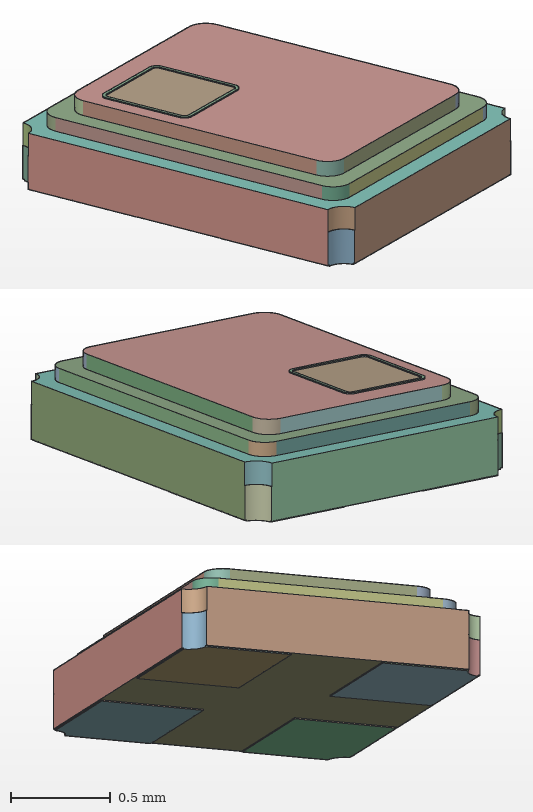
import cadquery as cq

length = 2.0
width = 1.6
base_height = 0.305
corner_notch_radius = 0.098

pad_thickness = 0.005
pad_edge_inset = 0.01
pad_gap_x = 0.5
pad_gap_y = 0.49
lining_height = 0.182
lining_thickness = 0.002

seal_ring_inset = 0.098
lid_inset = 0.198
tier_corner_radius = 0.1
seal_ring_height = 0.075
lid_height = 0.08

border_height = 0.005
border_length = 0.53
border_width = 0.5
border_thickness = 0.018
border_corner_radius = 0.045
border_center_x = -0.4
border_center_y = -0.268

base_bottom = pad_thickness
base_top = base_bottom + base_height
seal_ring_top = base_top + seal_ring_height
lid_top = seal_ring_top + lid_height
lined_notch_radius = corner_notch_radius - lining_thickness
base_corners = [
    (side_x * length / 2, side_y * width / 2)
    for side_x in (-1, 1)
    for side_y in (-1, 1)
]


def plate(size_x, size_y, bottom, height):
    """Rectangular plate centred on the Z axis."""
    return (
        cq.Workplane("XY")
        .workplane(offset=bottom)
        .rect(size_x, size_y)
        .extrude(height)
    )


def rounded_plate(size_x, size_y, bottom, height, radius):
    return plate(size_x, size_y, bottom, height).edges("|Z").fillet(radius)


def corner_cylinders(radius, bottom, height):
    """Upright cylinders centred on the four corners of the base."""
    return (
        cq.Workplane("XY")
        .workplane(offset=bottom)
        .pushPoints(base_corners)
        .circle(radius)
        .extrude(height)
    )


def make_base():
    """Ceramic block with quarter-round corners, narrowed near the bottom by the metal lining."""
    upper_bottom = base_bottom + lining_height
    block = plate(length, width, base_bottom, base_height)
    lined_notches = corner_cylinders(lined_notch_radius, base_bottom, lining_height)
    open_notches = corner_cylinders(corner_notch_radius, upper_bottom, base_top - upper_bottom)
    return block.cut(lined_notches).cut(open_notches)


def make_pads():
    """Four corner pads under the base, separated by a cross-shaped gap."""
    outer_x = length - 2 * pad_edge_inset
    outer_y = width - 2 * pad_edge_inset
    gap_along_y = plate(pad_gap_x, width, 0, pad_thickness)
    gap_along_x = plate(length, pad_gap_y, 0, pad_thickness)
    notches = corner_cylinders(lined_notch_radius, 0, pad_thickness)
    return (
        plate(outer_x, outer_y, 0, pad_thickness)
        .cut(gap_along_y)
        .cut(gap_along_x)
        .cut(notches)
    )


def make_tier(inset, bottom, height):
    """Rounded layer set in from the base edge by the same inset on every side."""
    return rounded_plate(length - 2 * inset, width - 2 * inset, bottom, height, tier_corner_radius)


def make_border():
    outer = rounded_plate(border_length, border_width, lid_top, border_height, border_corner_radius)
    inner = rounded_plate(
        border_length - 2 * border_thickness,
        border_width - 2 * border_thickness,
        lid_top,
        border_height,
        border_corner_radius - border_thickness,
    )
    return outer.cut(inner).translate((border_center_x, border_center_y, 0))


seal_ring = make_tier(seal_ring_inset, base_top, seal_ring_height)
lid = make_tier(lid_inset, seal_ring_top, lid_height)
result = make_base().union(make_pads()).union(seal_ring).union(lid).union(make_border())